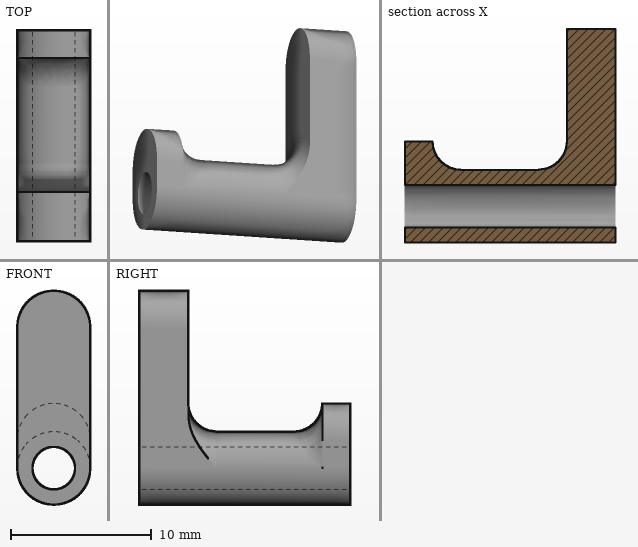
import math

import cadquery as cq

barrel_diameter = 5.2
bore_diameter = 3.0
barrel_length = 15.0
arm_thickness = 3.5
arm_height = 15.2
lug_thickness = 2.0
lug_height = 7.2
fillet_radius = 2.0

sections_per_stretch = 9
fillet_embed_depth = 1.8
fillet_start_height = 0.05
fillet_sink = 0.002
union_tolerance = 0.01

barrel_radius = barrel_diameter / 2
lug_face_y = barrel_length - lug_thickness
lug_centre_z = lug_height - barrel_diameter
ball_path_radius = barrel_radius + fillet_radius


def make_cylinder(diameter):
    """Cylinder along the barrel axis, over the full length of the part."""
    return cq.Workplane("XZ").circle(diameter / 2).extrude(-barrel_length)


def make_upright(height, thickness, start_y):
    """Plate as wide as the barrel, with both ends round and the lower one concentric with it."""
    centre_distance = height - barrel_diameter
    return (
        cq.Workplane("XZ", origin=(0, start_y, centre_distance / 2))
        .slot2D(height, barrel_diameter, 90)
        .extrude(-thickness)
    )


def make_arm_fillet():
    """Concave ring around the barrel, kept only above the axis and within the arm width."""
    arc_centre_y = arm_thickness + fillet_radius
    arc_offset = fillet_radius * math.sqrt(0.5)
    ring = (
        cq.Workplane("XY")
        .moveTo(0, arm_thickness)
        .lineTo(ball_path_radius, arm_thickness)
        .threePointArc(
            (ball_path_radius - arc_offset, arc_centre_y - arc_offset),
            (barrel_radius, arc_centre_y),
        )
        .lineTo(0, arc_centre_y)
        .close()
        .revolve(360, (0, 0, 0), (0, 1, 0))
    )
    keep = cq.Workplane("XY").box(
        barrel_diameter, barrel_length, ball_path_radius, centered=(True, False, False)
    )
    return ring.intersect(keep)


def lug_fillet_section(edge_point, outward):
    """Fillet section made by a ball that touches the lug edge at edge_point and dips into the barrel.

    The ball centre lies in the plane square to the edge, which contains the vector outward.
    """
    reach = edge_point.dot(outward)
    edge_radius_squared = edge_point.x**2 + edge_point.z**2
    path_radius = ball_path_radius - fillet_sink
    overhang = math.sqrt(reach**2 - edge_radius_squared + path_radius**2) - reach
    setback = math.sqrt(fillet_radius**2 - overhang**2)
    edge_on_lug = edge_point + cq.Vector(0, lug_face_y, 0)
    ball_centre = edge_on_lug + outward * overhang - cq.Vector(0, setback, 0)

    barrel_share = (barrel_radius - fillet_sink) / path_radius
    barrel_point = cq.Vector(ball_centre.x * barrel_share, ball_centre.y, ball_centre.z * barrel_share)
    chord_middle = (edge_on_lug + barrel_point) * 0.5
    inward = (chord_middle - ball_centre).normalized()
    arc_middle = ball_centre + inward * fillet_radius
    embedded_point = chord_middle + inward * fillet_embed_depth
    return cq.Wire.assembleEdges(
        [
            cq.Edge.makeThreePointArc(edge_on_lug, arc_middle, barrel_point),
            cq.Edge.makeLine(barrel_point, embedded_point),
            cq.Edge.makeLine(embedded_point, edge_on_lug),
        ]
    )


def make_lug_side_fillet(side):
    """Fillet along one straight side of the lug; side is +1 or -1 along X."""
    outward = cq.Vector(side, 0, 0)
    height_step = (lug_centre_z - fillet_start_height) / (sections_per_stretch - 1)
    sections = []
    for index in range(sections_per_stretch):
        height = fillet_start_height + index * height_step
        sections.append(lug_fillet_section(cq.Vector(side * barrel_radius, 0, height), outward))
    return cq.Solid.makeLoft(sections)


def make_lug_crown_fillet():
    """Fillet under the round top of the lug."""
    sections = []
    for index in range(sections_per_stretch):
        angle = math.pi * index / (sections_per_stretch - 1)
        outward = cq.Vector(math.cos(angle), 0, math.sin(angle))
        edge_point = cq.Vector(0, 0, lug_centre_z) + outward * barrel_radius
        sections.append(lug_fillet_section(edge_point, outward))
    return cq.Solid.makeLoft(sections)


body = (
    make_cylinder(barrel_diameter)
    .union(make_upright(arm_height, arm_thickness, 0))
    .union(make_upright(lug_height, lug_thickness, lug_face_y))
    .union(make_arm_fillet())
    .union(make_lug_crown_fillet(), tol=union_tolerance)
)
for side in (-1, 1):
    body = body.union(make_lug_side_fillet(side), tol=union_tolerance)

result = body.clean().cut(make_cylinder(bore_diameter))